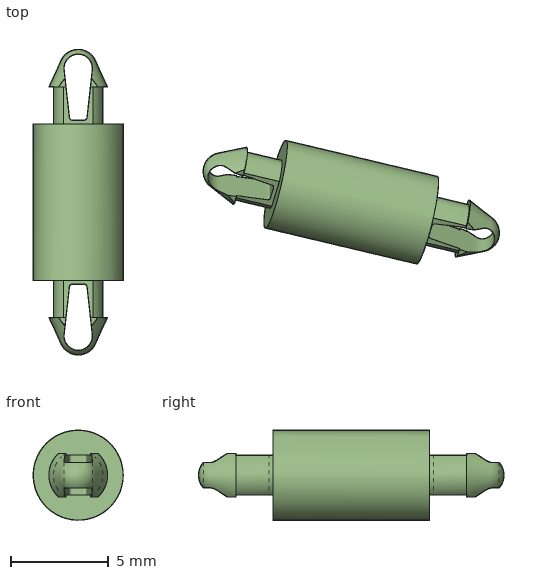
import cadquery as cq
import math

total_length = 15.6
body_diameter = 4.6
body_length = 8.0
peg_length = (total_length - body_length) / 2

shank_radius = 1.26
shank_thickness = 2.05
shank_length = 1.89

barb_radius = 1.5
barb_thickness = 2.23
nose_radius = 0.97
nose_cone_height = 1.33

slot_radius = 0.72
slot_floor = 0.19
slot_floor_width = 0.86
slot_corner_radius = 0.14

nose_center = peg_length - nose_radius


def flatted(solid, thickness):
    """Keep the slice of a solid between two flats normal to Z."""
    slab = cq.Workplane("XY").box(body_diameter, 2 * total_length, thickness)
    return solid.intersect(slab)


def make_shank():
    overlap = body_length / 2
    shank = (
        cq.Workplane("XZ", origin=(0, -overlap, 0))
        .circle(shank_radius)
        .extrude(-(overlap + shank_length))
    )
    return flatted(shank, shank_thickness)


def make_barb():
    nose_start = shank_length + nose_cone_height
    nose_edge_radius = math.sqrt(nose_radius**2 - (nose_start - nose_center) ** 2)
    half_angle = math.atan2(nose_edge_radius, nose_start - nose_center) / 2
    arc_middle = (
        nose_radius * math.sin(half_angle),
        nose_center + nose_radius * math.cos(half_angle),
    )
    barb = (
        cq.Workplane("XY")
        .moveTo(0, shank_length)
        .lineTo(barb_radius, shank_length)
        .lineTo(nose_edge_radius, nose_start)
        .threePointArc(arc_middle, (0, peg_length))
        .close()
        .revolve(360, (0, 0, 0), (0, 1, 0))
    )
    return flatted(barb, barb_thickness)


def make_slot():
    """Tapered slot whose straight sides run tangent into its round end."""
    half_floor = slot_floor_width / 2
    rise = nose_center - slot_floor
    corner_distance = math.hypot(half_floor, rise)
    tangent_angle = math.acos(slot_radius / corner_distance) - math.atan2(rise, half_floor)
    tangent_x = slot_radius * math.cos(tangent_angle)
    tangent_y = nose_center + slot_radius * math.sin(tangent_angle)
    return (
        cq.Workplane("XY", origin=(0, 0, -barb_thickness))
        .moveTo(-half_floor, slot_floor)
        .lineTo(half_floor, slot_floor)
        .lineTo(tangent_x, tangent_y)
        .threePointArc((0, nose_center + slot_radius), (-tangent_x, tangent_y))
        .close()
        .extrude(2 * barb_thickness)
        .edges("|Z and <Y")
        .fillet(slot_corner_radius)
    )


def make_peg():
    """Peg pointing along +Y, seated on the body's +Y end face."""
    peg = make_shank().union(make_barb()).cut(make_slot())
    return peg.translate((0, body_length / 2, 0))


body = (
    cq.Workplane("XZ", origin=(0, body_length / 2, 0))
    .circle(body_diameter / 2)
    .extrude(body_length)
)
peg = make_peg()
result = body.union(peg).union(peg.mirror("XZ"))